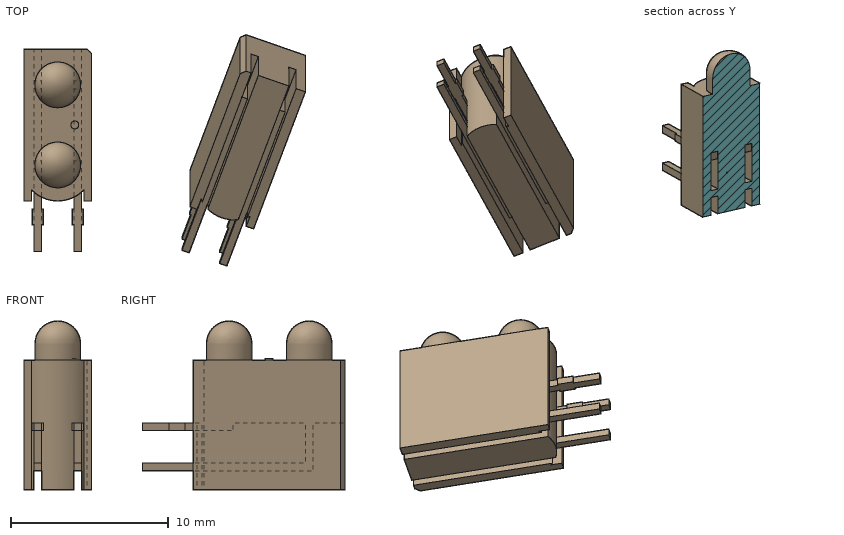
import cadquery as cq

body_width = 4.3
body_length = 9.64
body_height = 8.22
side_wall = 0.5
corner_chamfer = 0.3

led_pitch = 5.08
led_radius = 1.45
led_collar_height = 1.03
front_led_y = 2.29
rear_led_y = front_led_y + led_pitch

dot_diameter = 0.5
dot_height = 0.1
dot_x = 1.08
dot_y = front_led_y + led_pitch / 2

lead_pitch = 2.55
lead_width = 0.49
lead_thickness = 0.5
lead_reach = 3.21
lower_lead_z = 1.45
upper_lead_z = lower_lead_z + lead_pitch
shoulder_width = 0.71
shoulder_length = 1.02
shoulder_gap = 0.5
slot_top = upper_lead_z + lead_thickness / 2


def box(x_center, width, y_start, y_end, z_start, z_end):
    """Box centred on x_center that spans the given Y and Z ranges."""
    return (
        cq.Workplane("XY", origin=(x_center, (y_start + y_end) / 2, z_start))
        .box(width, y_end - y_start, z_end - z_start, centered=(True, True, False))
    )


def make_housing():
    """Block with two side walls flanking a front face that is round about the front LED."""
    half_inner = body_width / 2 - side_wall
    block = (
        box(0, body_width, 0, body_length, 0, body_height)
        .edges("|Z and >X and >Y")
        .chamfer(corner_chamfer)
    )
    front_space = box(0, 2 * half_inner, 0, front_led_y, 0, body_height)
    round_front = cq.Workplane("XY").center(0, front_led_y).circle(front_led_y).extrude(body_height)
    return block.cut(front_space.cut(round_front))


def make_led(y_center):
    """Round collar standing on the housing, topped by a hemispherical dome."""
    collar = (
        cq.Workplane("XY", origin=(0, y_center, body_height))
        .circle(led_radius)
        .extrude(led_collar_height)
    )
    dome = (
        cq.Workplane("XY", origin=(0, y_center, body_height + led_collar_height))
        .sphere(led_radius, angle1=0)
    )
    return collar.union(dome)


def make_lead(x_center, z_center, inner_y):
    """Horizontal lead that reaches in to inner_y and rises there to the top of its slot if it lies lower."""
    bottom = z_center - lead_thickness / 2
    top = z_center + lead_thickness / 2
    riser_back = inner_y + lead_thickness / 2
    riser_front = inner_y - lead_thickness / 2
    run = box(x_center, lead_width, -lead_reach, riser_back, bottom, top)
    riser = box(x_center, lead_width, riser_front, riser_back, bottom, slot_top)
    return run.union(riser)


def make_shoulder(x_center):
    """Wider stop on an upper lead, just outside the housing."""
    bottom = upper_lead_z - lead_thickness / 2
    return box(x_center, shoulder_width, -shoulder_gap - shoulder_length, -shoulder_gap, bottom, slot_top)


result = make_housing()

for led_y in (front_led_y, rear_led_y):
    result = result.union(make_led(led_y))

dot = cq.Workplane("XY", origin=(dot_x, dot_y, body_height)).circle(dot_diameter / 2).extrude(dot_height)
result = result.union(dot)

for lead_x in (-lead_pitch / 2, lead_pitch / 2):
    result = result.cut(box(lead_x, lead_width, 0, body_length, 0, slot_top))
    result = result.union(make_lead(lead_x, upper_lead_z, front_led_y))
    result = result.union(make_lead(lead_x, lower_lead_z, rear_led_y))
    result = result.union(make_shoulder(lead_x))